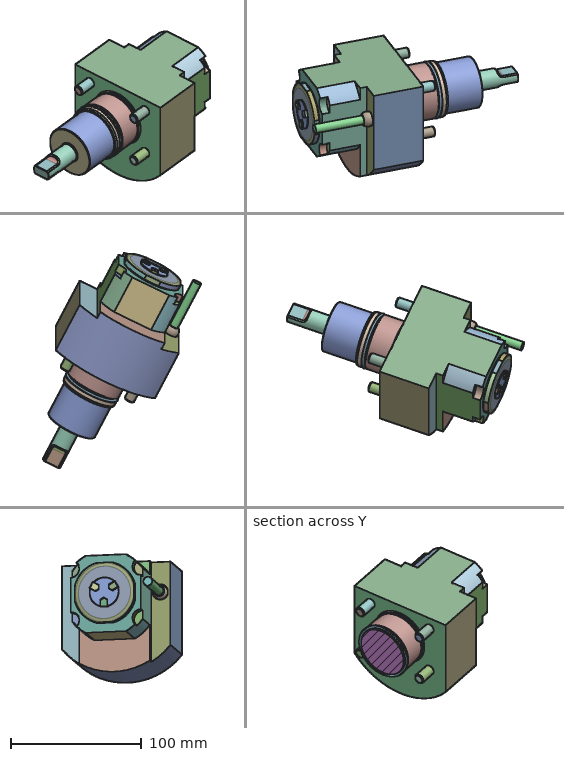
import cadquery as cq
import math


block_width = 85.0
block_top = 30.0
block_radius = 55.0
block_depth = 40.6
step_depth = 46.2

head_width = 55.0
head_half_height = block_top
head_corner_radius = 33.9
head_back = 77.0
screw_z = 20.0
screw_recess_diameter = 13.3
screw_recess_depth = 6.2

screw_diameter = 8.0
screw_tip_diameter = 6.4
screw_length = 14.4

collar_diameter = 44.0
flare_diameter = 45.6
flare_length = 0.5
root_diameter = 43.1
root_end = 1.6
relief_diameter = 43.0
relief_end = 2.5
groove_start = 20.2
groove_end = 23.6
groove_diameter = 40.1
ring_diameter = 44.7
ring_section_diameter = 2.5
collar_bevel_start = 26.8
collar_end = 28.4
shank_diameter = 40.1
shank_end = 57.3
shank_chamfer = 0.5

nozzle_x = -35.0
nozzle_z = 6.2
ball_diameter = 11.9
ball_center = 42.8
ball_end = 47.0
tube_diameter = 7.0
tube_end = 86.3

shaft_diameter = 15.0
shaft_flare_diameter = 16.3
shaft_flare_length = 0.9
shaft_end = 177.5 - tube_end
tang_thickness = 8.0
tang_flat_start = 79.2
tang_root_radius = 3.0
tang_edge_chamfer = 0.9
shaft_tip_chamfer = 0.4

chuck_diameter = 48.0
chuck_across_flats = 46.3
chuck_neck_diameter = 45.0
chuck_disc_start = 77.7
chuck_disc_end = 81.8
chuck_bevel_diameter = 45.8
chuck_back = 82.4
chuck_back_diameter = 40.8
jaw_seat_diameter = 22.7
jaw_seat_end = 83.0
jaw_count = 3
jaw_width = 5.3
jaw_tip_radius = 4.6
jaw_outer_radius = 11.4
jaw_end = 84.5


def plane_at(y):
    """Plane facing -Y whose local axes are X and Z."""
    return cq.Workplane("XZ", origin=(0, y, 0))


def turned(points):
    """Solid turned about the Y axis from (radius, y) points."""
    return cq.Workplane("XY").polyline(points).close().revolve(360, (0, 0, 0), (0, 1, 0))


def round_bottomed(width, depth):
    """Plate from the mounting face back, flat on top and round underneath."""
    half = width / 2
    side_bottom = -math.sqrt(block_radius**2 - half**2)
    return (
        plane_at(0)
        .moveTo(-half, side_bottom)
        .lineTo(-half, block_top)
        .lineTo(half, block_top)
        .lineTo(half, side_bottom)
        .threePointArc((0, -block_radius), (-half, side_bottom))
        .close()
        .extrude(-depth)
    )


def make_head():
    head = plane_at(0).rect(head_width, 2 * head_half_height).extrude(-head_back)
    corners = plane_at(0).circle(head_corner_radius).extrude(-head_back)
    recesses = (
        plane_at(head_back)
        .rect(head_width, 2 * screw_z, forConstruction=True)
        .vertices()
        .circle(screw_recess_diameter / 2)
        .extrude(screw_recess_depth)
    )
    return head.intersect(corners).cut(recesses)


def make_screws():
    return (
        plane_at(0)
        .rect(head_width, 2 * screw_z, forConstruction=True)
        .vertices()
        .circle(screw_diameter / 2)
        .extrude(screw_length)
        .faces("<Y")
        .chamfer((screw_diameter - screw_tip_diameter) / 2)
    )


def make_shank():
    collar = collar_diameter / 2
    root = root_diameter / 2
    relief = relief_diameter / 2
    groove = groove_diameter / 2
    shank = shank_diameter / 2
    body = turned([
        (0, 0),
        (flare_diameter / 2, 0),
        (root, -flare_length),
        (root, -root_end),
        (relief, -root_end),
        (relief, -relief_end),
        (collar, -relief_end),
        (collar, -groove_start),
        (groove, -groove_start),
        (groove, -groove_end),
        (collar, -groove_end),
        (collar, -collar_bevel_start),
        (relief, -collar_end),
        (shank, -collar_end),
        (shank, -shank_end + shank_chamfer),
        (shank - shank_chamfer, -shank_end),
        (0, -shank_end),
    ])
    ring_path_radius = (ring_diameter - ring_section_diameter) / 2
    ring_y = -groove_end + ring_section_diameter / 2
    ring_plane = cq.Plane(origin=(ring_path_radius, ring_y, 0), xDir=(-1, 0, 0), normal=(0, 0, 1))
    ring = (
        cq.Workplane(ring_plane)
        .circle(ring_section_diameter / 2)
        .revolve(360, (ring_path_radius, 0, 0), (ring_path_radius, 1, 0))
    )
    return body.union(ring)


def make_nozzle():
    ball = cq.Workplane("XY").sphere(ball_diameter / 2).translate((nozzle_x, ball_center, nozzle_z))
    trim = plane_at(ball_end).center(nozzle_x, nozzle_z).circle(ball_diameter).extrude(-ball_diameter)
    tube = (
        plane_at(ball_center)
        .center(nozzle_x, nozzle_z)
        .circle(tube_diameter / 2)
        .extrude(ball_center - tube_end)
    )
    return ball.cut(trim).union(tube)


def make_housing():
    housing = round_bottomed(block_width, block_depth)
    housing = housing.union(round_bottomed(head_width, step_depth))
    housing = housing.union(make_head())
    housing = housing.union(make_screws())
    housing = housing.union(make_shank())
    return housing.union(make_nozzle())


def make_drive_shaft():
    radius = shaft_diameter / 2
    shaft = turned([
        (0, -shank_end),
        (shaft_flare_diameter / 2, -shank_end),
        (radius, -shank_end - shaft_flare_length),
        (radius, -shaft_end),
        (0, -shaft_end),
    ])
    flat_z = tang_thickness / 2
    root_z = flat_z + tang_root_radius
    root_y = -tang_flat_start + tang_root_radius
    bend = tang_root_radius * math.sqrt(0.5)
    cutter = (
        cq.Workplane("YZ", origin=(-shaft_diameter, 0, 0))
        .moveTo(-2 * shaft_end, flat_z)
        .lineTo(-tang_flat_start, flat_z)
        .threePointArc((-tang_flat_start + bend, root_z - bend), (root_y, root_z))
        .lineTo(root_y, shaft_diameter)
        .lineTo(-2 * shaft_end, shaft_diameter)
        .close()
        .extrude(2 * shaft_diameter)
    )
    shaft = shaft.cut(cutter).cut(cutter.mirror("XY"))
    shaft = shaft.faces("|Z").edges("|Y").chamfer(tang_edge_chamfer)
    return shaft.faces("<Y").chamfer(shaft_tip_chamfer)


def make_jaw(angle):
    """Chuck jaw with a 120 degree point towards the axis, turned about Y by the angle."""
    half = jaw_width / 2
    shoulder = jaw_tip_radius + half / math.sqrt(3)
    return (
        plane_at(chuck_back)
        .polyline([
            (0, -jaw_tip_radius),
            (half, -shoulder),
            (half, -jaw_outer_radius),
            (-half, -jaw_outer_radius),
            (-half, -shoulder),
        ])
        .close()
        .extrude(chuck_back - jaw_end)
        .rotate((0, 0, 0), (0, 1, 0), angle)
    )


def make_chuck():
    radius = chuck_diameter / 2
    seat = jaw_seat_diameter / 2
    disc = turned([
        (0, head_back),
        (chuck_neck_diameter / 2, head_back),
        (chuck_neck_diameter / 2, chuck_disc_start),
        (radius, chuck_disc_start),
        (radius, chuck_disc_end),
        (chuck_bevel_diameter / 2, chuck_disc_end),
        (chuck_back_diameter / 2, chuck_back),
        (seat, chuck_back),
        (seat, jaw_seat_end),
        (0, jaw_seat_end),
    ])
    flats = plane_at(head_back).rect(chuck_across_flats, chuck_across_flats).extrude(head_back - jaw_end)
    chuck = disc.intersect(flats)
    for index in range(jaw_count):
        chuck = chuck.union(make_jaw(index * 360 / jaw_count))
    return chuck


housing = make_housing()
drive_shaft = make_drive_shaft()
chuck = make_chuck()
result = cq.Compound.makeCompound([housing.val(), drive_shaft.val(), chuck.val()])